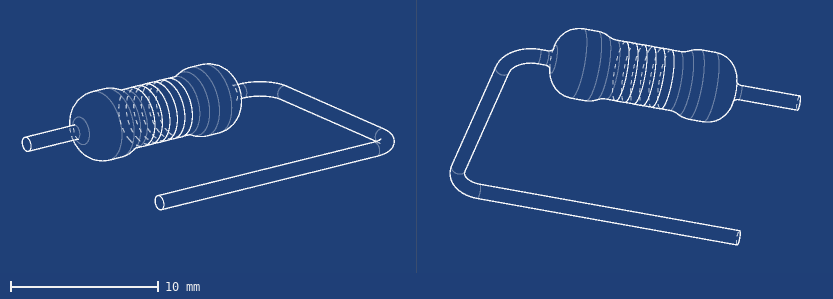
import cadquery as cq
import math

total_length = 20.8
total_width = 17.9

wire_diameter = 1.0
wire_radius = wire_diameter / 2
bend_radius = 2.0

cap_diameter = 4.8
cap_radius = cap_diameter / 2
waist_diameter = 4.08
waist_radius = waist_diameter / 2
body_center_y = 10.95
neck_half_length = 6.8
neck_fillet = 0.45
dome_radius = 1.68
cap_cylinder_length = 1.05

band_diameter = 4.1
band_count = 3
waist_length = 4.45
waist_half_length = waist_length / 2
band_width = waist_length / (2 * band_count + 1)

lead_spacing = total_width - cap_radius - wire_radius
wire_top_y = total_length - wire_radius
bend_start_y = wire_top_y - bend_radius
neck_radius = wire_radius + neck_fillet
dome_tip = neck_half_length - neck_fillet
cap_outer = dome_tip - dome_radius
cap_inner = cap_outer - cap_cylinder_length
dome_center_radius = cap_radius - dome_radius

dome_edge = cap_outer + math.sqrt(dome_radius**2 - (neck_radius - dome_center_radius)**2)

shoulder_length = cap_inner - waist_half_length
shoulder_drop = cap_radius - waist_radius
shoulder_arc_radius = (shoulder_length**2 + shoulder_drop**2) / (4 * shoulder_drop)
shoulder_middle = (waist_radius + shoulder_drop / 2, waist_half_length + shoulder_length / 2)


def make_half_body():
    """Revolve one half of the body, from its middle plane at Y = 0 to the neck."""
    dome_angle = math.acos((neck_radius - dome_center_radius) / dome_radius) / 2
    dome_middle = (
        dome_center_radius + dome_radius * math.cos(dome_angle),
        cap_outer + dome_radius * math.sin(dome_angle),
    )
    fillet_offset = neck_fillet * math.sqrt(0.5)
    fillet_middle = (neck_radius - fillet_offset, neck_half_length - fillet_offset)
    profile = (
        cq.Workplane("XY")
        .lineTo(waist_radius, 0)
        .lineTo(waist_radius, waist_half_length)
        .radiusArc(shoulder_middle, shoulder_arc_radius)
        .radiusArc((cap_radius, cap_inner), -shoulder_arc_radius)
        .lineTo(cap_radius, cap_outer)
        .threePointArc(dome_middle, (neck_radius, dome_edge))
        .threePointArc(fillet_middle, (wire_radius, neck_half_length))
        .lineTo(0, neck_half_length)
        .close()
    )
    return profile.revolve(360, (0, 0, 0), (0, 1, 0))


def make_band(center_y):
    """Disc forming one slightly raised band around the waist."""
    disc = cq.Workplane("XZ").circle(band_diameter / 2).extrude(band_width)
    return disc.translate((0, center_y + band_width / 2, 0))


def make_body():
    half = make_half_body()
    body = half.union(half.mirror("XZ"))
    for index in range(band_count):
        offset = (index - (band_count - 1) / 2) * 2 * band_width
        body = body.union(make_band(offset))
    return body.translate((0, body_center_y, 0))


def make_wire():
    """Sweep the round wire through the body, around both bends and down the long lead."""
    path = (
        cq.Workplane("XY")
        .lineTo(0, bend_start_y)
        .radiusArc((bend_radius, wire_top_y), bend_radius)
        .lineTo(lead_spacing - bend_radius, wire_top_y)
        .radiusArc((lead_spacing, bend_start_y), bend_radius)
        .lineTo(lead_spacing, 0)
    )
    return cq.Workplane("XZ").circle(wire_radius).sweep(path)


result = make_body().union(make_wire())